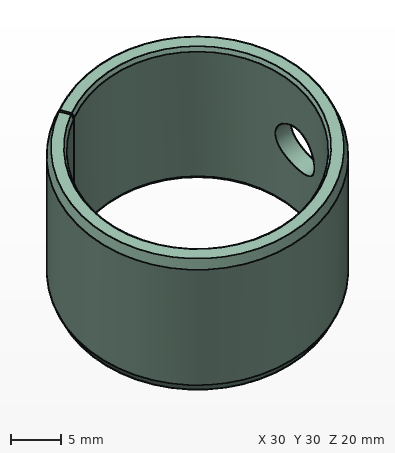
import cadquery as cq
import math

outer_diameter = 30.0
wall_thickness = 2.0
length = 20.0
outer_radius = outer_diameter / 2
inner_radius = outer_radius - wall_thickness

outer_chamfer_length = 1.2
outer_chamfer_angle = 20.0
outer_chamfer_depth = outer_chamfer_length * math.tan(math.radians(outer_chamfer_angle))

bore_chamfer_length = 0.5
bore_chamfer_angle = 30.0
bore_chamfer_depth = bore_chamfer_length * math.tan(math.radians(bore_chamfer_angle))

split_angle = 1.0
split_face_direction = 180.0

oil_hole_diameter = 6.0
oil_hole_angle_from_far_face = 120.0
far_split_face_direction = split_face_direction - split_angle
oil_hole_direction = far_split_face_direction - oil_hole_angle_from_far_face


def make_split_sleeve():
    """Revolve the chamfered wall section on the -X side about Z, stopping short to leave the split."""
    half_length = length / 2
    outer_land = half_length - outer_chamfer_length
    bore_land = half_length - bore_chamfer_length
    end_outer_radius = outer_radius - outer_chamfer_depth
    end_inner_radius = inner_radius + bore_chamfer_depth
    wall_section = [
        (-inner_radius, -bore_land),
        (-end_inner_radius, -half_length),
        (-end_outer_radius, -half_length),
        (-outer_radius, -outer_land),
        (-outer_radius, outer_land),
        (-end_outer_radius, half_length),
        (-end_inner_radius, half_length),
        (-inner_radius, bore_land),
    ]
    return (
        cq.Workplane("XZ")
        .polyline(wall_section)
        .close()
        .revolve(360 - split_angle, (0, 0, 0), (0, 1, 0))
    )


def make_oil_hole():
    """Cylinder from the axis out through one side of the wall."""
    return (
        cq.Workplane("YZ")
        .circle(oil_hole_diameter / 2)
        .extrude(outer_diameter)
        .rotate((0, 0, 0), (0, 0, 1), oil_hole_direction)
    )


result = make_split_sleeve().cut(make_oil_hole())